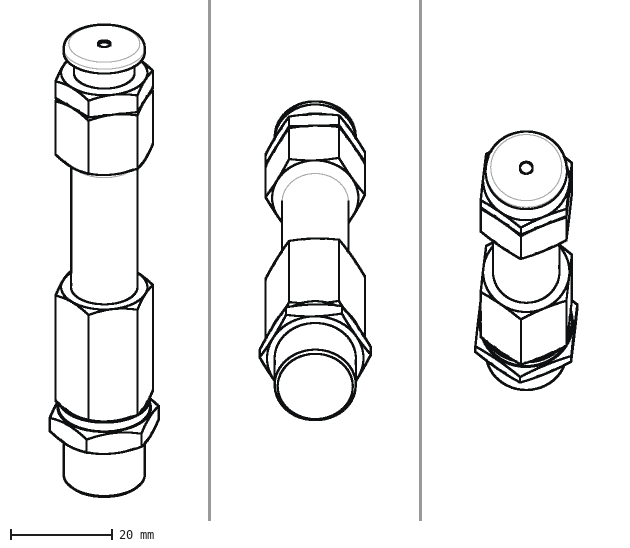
import cadquery as cq
import math

total_height = 100.2
flange_hex_bottom = 11.2
flange_hex_top = 16.1
collar_height = 2.0
collar_top = flange_hex_top + collar_height
lower_hex_top = 44.0
upper_hex_bottom = 75.0
locknut_bottom = 88.9
locknut_top = 93.5
cap_thickness = 2.0
cap_bottom = total_height - cap_thickness

shank_diameter = 16.0
shank_chamfer = 0.6
flange_hex_width = 19.0
flange_top_face_diameter = 18.4
collar_diameter = 18.0
tube_diameter = 13.1
neck_radius = 1.8

main_hex_width = 17.0

screw_diameter = 12.0
cap_diameter = 16.0
cap_edge_radius = 1.0

pin_diameter = 4.0
pin_radius = pin_diameter / 2
opening_diameter = 2.5

bevel_angle = math.radians(30)


def cylinder(diameter, bottom, top):
    return cq.Workplane("XY").workplane(offset=bottom).circle(diameter / 2).extrude(top - bottom)


def revolve_profile(profile):
    """Turn a closed half profile, drawn as (radius, height), about the Z axis."""
    return profile.close().revolve(360, (0, 0, 0), (0, 1, 0))


def hexagon(width, bottom, top, bottom_face=None, top_face=None):
    """Hexagonal prism, corners on X; a face diameter given for an end bevels the corners there."""
    corner_diameter = width / math.cos(math.pi / 6)
    corner_radius = corner_diameter / 2
    prism = cq.Workplane("XY").workplane(offset=bottom).polygon(6, corner_diameter).extrude(top - bottom)

    def bevel_drop(face_diameter):
        return (corner_radius - face_diameter / 2) * math.tan(bevel_angle)

    bottom_diameter = bottom_face or corner_diameter
    top_diameter = top_face or corner_diameter
    points = [(0, bottom), (bottom_diameter / 2, bottom)]
    if bottom_face:
        points.append((corner_radius, bottom + bevel_drop(bottom_face)))
    if top_face:
        points.append((corner_radius, top - bevel_drop(top_face)))
    points += [(top_diameter / 2, top), (0, top)]
    return prism.intersect(revolve_profile(cq.Workplane("XZ").polyline(points)))


def make_neck():
    """Concave flare that widens the tube into the underside of the upper hexagon."""
    tube_radius = tube_diameter / 2
    flare_bottom = upper_hex_bottom - neck_radius
    arc_offset = neck_radius * (1 - math.sqrt(0.5))
    profile = (
        cq.Workplane("XZ")
        .moveTo(0, flare_bottom)
        .lineTo(tube_radius, flare_bottom)
        .threePointArc(
            (tube_radius + arc_offset, upper_hex_bottom - arc_offset),
            (tube_radius + neck_radius, upper_hex_bottom),
        )
        .lineTo(0, upper_hex_bottom)
    )
    return revolve_profile(profile)


def make_housing():
    shank = cylinder(shank_diameter, 0, flange_hex_bottom).faces("<Z").chamfer(shank_chamfer)
    flange_hex = hexagon(
        flange_hex_width, flange_hex_bottom, flange_hex_top, flange_hex_width, flange_top_face_diameter
    )
    collar = cylinder(collar_diameter, flange_hex_top, collar_top)
    lower_hex = hexagon(main_hex_width, collar_top, lower_hex_top, main_hex_width, main_hex_width)
    tube = cylinder(tube_diameter, lower_hex_top, upper_hex_bottom)
    upper_hex = hexagon(main_hex_width, upper_hex_bottom, locknut_bottom, main_hex_width, main_hex_width)
    housing = shank
    for section in (flange_hex, collar, lower_hex, tube, make_neck(), upper_hex):
        housing = housing.union(section)
    return housing


def make_locknut():
    nut = hexagon(main_hex_width, locknut_bottom, locknut_top, top_face=main_hex_width)
    return nut.cut(cylinder(screw_diameter, locknut_bottom, locknut_top))


def make_pin():
    """Straight pin with a hemispherical tip that ends level with the cap face."""
    tip_base = total_height - pin_radius
    arc_reach = pin_radius * math.sqrt(0.5)
    profile = (
        cq.Workplane("XZ")
        .moveTo(0, locknut_bottom)
        .lineTo(pin_radius, locknut_bottom)
        .lineTo(pin_radius, tip_base)
        .threePointArc((arc_reach, tip_base + arc_reach), (0, total_height))
    )
    return revolve_profile(profile)


def make_screw(pin):
    """Headed screw standing on the housing, hollowed to fit the pin and open at the cap face."""
    stem = cylinder(screw_diameter, locknut_bottom, cap_bottom)
    cap = cylinder(cap_diameter, cap_bottom, total_height).faces(">Z").edges().fillet(cap_edge_radius)
    opening = cylinder(opening_diameter, cap_bottom, total_height)
    return stem.union(cap).cut(opening).cut(pin)


housing = make_housing()
locknut = make_locknut()
pin = make_pin()
screw = make_screw(pin)

result = cq.Compound.makeCompound([housing.val(), locknut.val(), screw.val(), pin.val()])